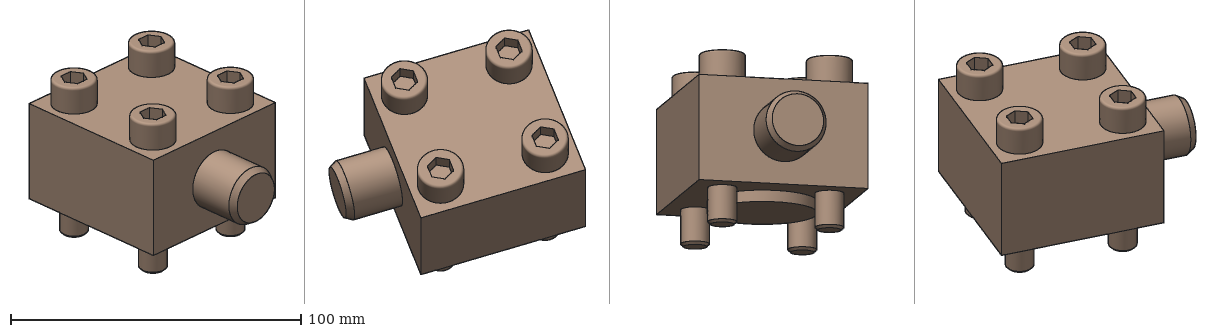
import cadquery as cq
import math

block_side = 60.0
block_height = 37.0

overall_length = 80.0
pipe_diameter = 21.3
pipe_length = overall_length - block_side
pipe_bevel_length = 2.6
pipe_bevel_depth = 1.5

spigot_diameter = 38.0
spigot_height = 4.0

screw_spacing = 38.1
head_diameter = 16.0
head_height = 10.0
head_round = 1.0
shank_diameter = 10.0
shank_length = 13.0
shank_chamfer = 1.0
socket_flats = 8.0
socket_depth = 5.0


def make_block():
    return cq.Workplane("XY").box(block_side, block_side, block_height, centered=(True, True, False))


def make_pipe():
    pipe = (
        cq.Workplane("YZ", origin=(block_side / 2, 0, block_height / 2))
        .circle(pipe_diameter / 2)
        .extrude(pipe_length)
    )
    return pipe.faces(">X").chamfer(pipe_bevel_length, pipe_bevel_depth)


def make_spigot():
    return cq.Workplane("XY").circle(spigot_diameter / 2).extrude(-spigot_height)


def make_screw():
    """Exposed parts of one screw: the head above the block and the shank below it."""
    head = (
        cq.Workplane("XY", origin=(0, 0, block_height))
        .circle(head_diameter / 2)
        .extrude(head_height)
        .faces(">Z")
        .edges()
        .fillet(head_round)
    )
    socket_corners = socket_flats / math.cos(math.radians(30))
    socket = (
        cq.Workplane("XY", origin=(0, 0, block_height + head_height))
        .transformed(rotate=(0, 0, 90))
        .polygon(6, socket_corners)
        .extrude(-socket_depth)
    )
    shank = (
        cq.Workplane("XY")
        .circle(shank_diameter / 2)
        .extrude(-shank_length)
        .faces("<Z")
        .chamfer(shank_chamfer)
    )
    return head.cut(socket), shank


result = make_block().union(make_pipe()).union(make_spigot())
screw_head, screw_shank = make_screw()
for x in (-screw_spacing / 2, screw_spacing / 2):
    for y in (-screw_spacing / 2, screw_spacing / 2):
        result = result.union(screw_head.translate((x, y, 0)))
        result = result.union(screw_shank.translate((x, y, 0)))